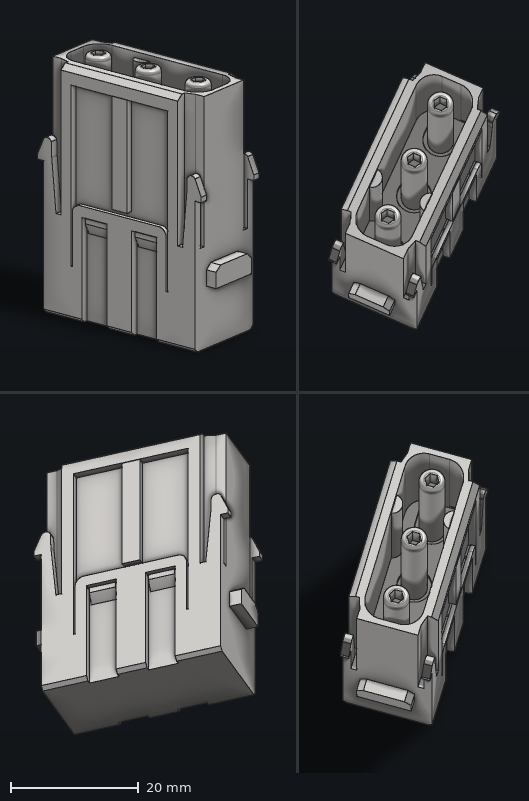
import cadquery as cq

body_width = 30.3
body_depth = 14.6
body_top = 42.0
half_width = body_width / 2
half_depth = body_depth / 2
top_chamfer_in = 1.1
top_chamfer_down = 0.9
bottom_chamfer = 0.65

recess_bottom = 17.05
recess_x = 11.67
recess_slope_x = 13.4
recess_wall_y = 5.55
core_half_depth = 5.0

arm_thickness = 1.35
arm_root_x = 12.65
arm_bend_x = 13.5
arm_bend_z = 26.23
arm_head_x = 13.58
arm_head_z = 28.75
arm_crown_x = 14.3
arm_top = 29.3
arm_shoulder_z = 28.98
barb_x = 16.35
barb_top = 26.2
barb_bottom = 25.25

pocket_half_width = 9.7
pocket_bottom = 8.95
pocket_top = 39.05
pocket_depth = 1.25
rib_width = 2.95
rib_bottom = 20.18
rib_height = 1.2
pad_half_width = 9.4
pad_top = 19.4
pad_corner_radius = 1.5
pad_lip_thickness = 0.75

pin_pitch = 10.0
pin_diameter = 4.1
pin_top = 42.3
pin_flat_diameter = 2.62
hex_sides = 6
hex_across_flats = 2.0
hex_depth = 4.25
pin_positions = [(-pin_pitch, 0), (0, 0), (pin_pitch, 0)]

cavity_half_length = 14.15
cavity_half_width = 4.75
cavity_corner_radius = 3.15
cavity_floor = pad_top
well_diameter = 5.5
well_depth = 0.85
key_x = -pin_pitch / 2
key_radius = 1.55
key_inset = 0.2
key_top = 41.0

channel_width = pin_pitch / 2
channel_positions = [-pin_pitch / 2, pin_pitch / 2]
channel_top = 17.5
channel_depth = 1.25
hook_width = 4.4
hook_reach = 0.75
hook_top = 17.35
hook_ramp_top = 16.4
hook_bottom = 14.6

overall_width = 34.2
tab_reach = overall_width / 2
tab_bottom = 10.35
tab_top = 14.0
left_tab_width = 7.02
right_tab_width = 8.9
tab_chamfer_y = 1.1
tab_chamfer_z = 0.95


def box(x_range, y_range, z_range):
    """Axis-aligned block between the given limits."""
    size = [high - low for low, high in (x_range, y_range, z_range)]
    return cq.Workplane("XY").box(*size, centered=False).translate((x_range[0], y_range[0], z_range[0]))


def on_four_corners(shape):
    """The shape made for the +X, +Y corner, copied to all four corners."""
    pair = shape.union(shape.mirror("YZ"))
    return pair.union(pair.mirror("XZ"))


def on_both_sides(shape):
    """The shape made for the +Y side, joined by its mirror image on the -Y side."""
    return shape.union(shape.mirror("XZ"))


def make_block():
    """Housing outline in the YZ plane, chamfered along the long edges."""
    profile = [
        (half_depth - bottom_chamfer, 0),
        (half_depth, bottom_chamfer),
        (half_depth, body_top - top_chamfer_down),
        (half_depth - top_chamfer_in, body_top),
    ]
    mirrored = [(-y, z) for y, z in reversed(profile)]
    return cq.Workplane("YZ").polyline(profile + mirrored).close().extrude(half_width, both=True)


def make_corner_recess():
    """Clearance at one corner; its inner wall slopes towards the end face."""
    outline = [
        (recess_x, half_depth),
        (recess_x, recess_wall_y),
        (recess_slope_x, core_half_depth),
        (half_width, core_half_depth),
        (half_width, half_depth),
    ]
    height = body_top - recess_bottom
    return cq.Workplane("XY").workplane(offset=recess_bottom).polyline(outline).close().extrude(height)


def make_latch_arm():
    """Tapered spring arm with a barbed, rounded head."""
    return (
        cq.Workplane("XZ", origin=(0, half_depth, 0))
        .moveTo(half_width, recess_bottom)
        .lineTo(arm_root_x, recess_bottom)
        .lineTo(arm_bend_x, arm_bend_z)
        .lineTo(arm_head_x, arm_head_z)
        .threePointArc((arm_crown_x, arm_top), (half_width, arm_shoulder_z))
        .lineTo(barb_x, barb_top)
        .lineTo(barb_x, barb_bottom)
        .lineTo(half_width, barb_bottom)
        .close()
        .extrude(arm_thickness)
    )


def make_side_pocket():
    """Cutter for the +Y pocket; the rib and the pad are left standing."""
    pocket_floor = half_depth - pocket_depth
    pocket = box(
        (-pocket_half_width, pocket_half_width), (pocket_floor, half_depth), (pocket_bottom, pocket_top)
    )
    rib = box(
        (-rib_width / 2, rib_width / 2), (pocket_floor, pocket_floor + rib_height), (rib_bottom, pocket_top)
    )
    pad = box(
        (-pad_half_width, pad_half_width), (pocket_floor, half_depth), (pocket_bottom, pad_top)
    )
    pad = pad.edges("|Y and >Z").fillet(pad_corner_radius)
    lip_gap = box(
        (-pad_half_width, pad_half_width),
        (pocket_floor, half_depth - pad_lip_thickness),
        (channel_top, pad_top),
    )
    return pocket.cut(rib).cut(pad.cut(lip_gap))


def make_channel(center_x):
    """Cutter for one +Y channel, with its snap hook left standing."""
    channel_floor = half_depth - channel_depth
    channel = box(
        (center_x - channel_width / 2, center_x + channel_width / 2),
        (channel_floor, half_depth),
        (0, channel_top),
    )
    hook_profile = [
        (channel_floor, hook_bottom),
        (channel_floor + hook_reach, hook_ramp_top),
        (channel_floor + hook_reach, hook_top),
        (channel_floor, hook_top),
    ]
    hook = (
        cq.Workplane("YZ", origin=(center_x, 0, 0))
        .polyline(hook_profile)
        .close()
        .extrude(hook_width / 2, both=True)
    )
    return channel.cut(hook)


def make_cavity():
    """Cutter for the pin cavity, its floor wells and its two half-round keys."""
    height = body_top - cavity_floor
    cavity = (
        cq.Workplane("XY", origin=(0, 0, cavity_floor))
        .rect(2 * cavity_half_length, 2 * cavity_half_width)
        .extrude(height)
        .edges("|Z")
        .fillet(cavity_corner_radius)
    )
    key = (
        cq.Workplane("XY", origin=(key_x, cavity_half_width + key_inset, cavity_floor))
        .circle(key_radius)
        .extrude(key_top - cavity_floor)
    )
    well_bottom = cavity_floor - well_depth
    wells = (
        cq.Workplane("XY", origin=(0, 0, well_bottom))
        .pushPoints(pin_positions)
        .circle(well_diameter / 2)
        .extrude(well_depth)
    )
    cavity = cavity.cut(on_both_sides(key)).union(wells)
    well_y = (-well_diameter / 2, well_diameter / 2)
    well_z = (well_bottom, cavity_floor)
    for well_x in ((-cavity_half_length, -pin_pitch), (pin_pitch, cavity_half_length)):
        cavity = cavity.union(box(well_x, well_y, well_z))
    return cavity


def make_pins():
    """Three round-nosed pins with hexagonal sockets."""
    base = cavity_floor - well_depth
    nose_radius = (pin_diameter - pin_flat_diameter) / 2
    pin = (
        cq.Workplane("XY", origin=(0, 0, base))
        .circle(pin_diameter / 2)
        .extrude(pin_top - base)
        .faces(">Z")
        .edges()
        .fillet(nose_radius)
    )
    socket = (
        cq.Workplane("XY", origin=(0, 0, pin_top - hex_depth))
        .polygon(hex_sides, hex_across_flats, circumscribed=True)
        .extrude(hex_depth)
    )
    pin = pin.cut(socket)
    pins = cq.Workplane("XY")
    for x, y in pin_positions:
        pins = pins.union(pin.translate((x, y, 0)))
    return pins


def make_tab(width, side):
    """Coding tab on one end face; side is -1 for -X and +1 for +X."""
    half_tab = width / 2
    profile = [
        (-half_tab, tab_bottom),
        (half_tab, tab_bottom),
        (half_tab, tab_top - tab_chamfer_z),
        (half_tab - tab_chamfer_y, tab_top),
        (tab_chamfer_y - half_tab, tab_top),
        (-half_tab, tab_top - tab_chamfer_z),
    ]
    return (
        cq.Workplane("YZ", origin=(side * half_width, 0, 0))
        .polyline(profile)
        .close()
        .extrude(side * (tab_reach - half_width))
    )


result = make_block()
result = result.cut(on_four_corners(make_corner_recess()))
result = result.union(on_four_corners(make_latch_arm()))
result = result.cut(on_both_sides(make_side_pocket()))
for channel_x in channel_positions:
    result = result.cut(on_both_sides(make_channel(channel_x)))
result = result.cut(make_cavity())
result = result.union(make_pins())
result = result.union(make_tab(left_tab_width, -1))
result = result.union(make_tab(right_tab_width, 1))